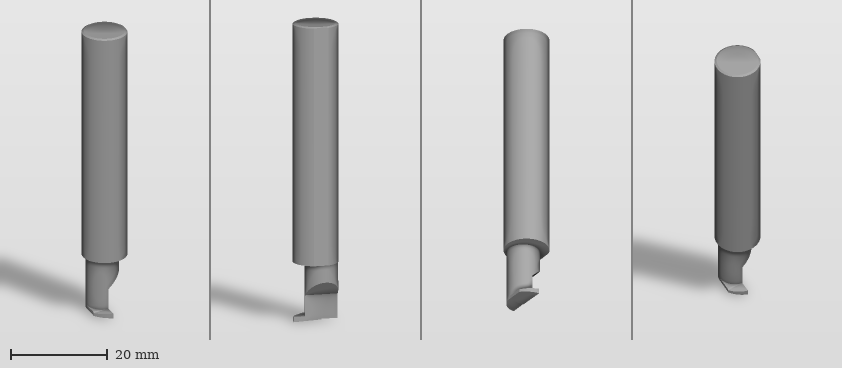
import cadquery as cq

overall_length = 63.5
shank_radius = 4.75
flat_offset = 4.5
shoulder_z = 12.7
chamfer_width = 0.45
chamfer_height = 0.25

neck_radius = 3.5
neck_x = neck_radius - shank_radius
neck_bottom_z = 0.4

relief_low_z = 5.6
relief_high_z = 8.8

head_top_z = 1.1
head_back_y = -neck_radius
head_back_x = 2.6
heel_x = 2.9
heel_y = -3.25
flank_mid_x = 4.2
flank_mid_y = -1.65
top_drop = 0.2
ramp_start_x = 2.2
bottom_rise_x = 0.04
bottom_rise_y = 0.05


def make_shank():
    bar = (
        cq.Workplane("XY", origin=(0, 0, shoulder_z))
        .circle(shank_radius)
        .extrude(overall_length - shoulder_z)
        .faces(">Z")
        .edges()
        .chamfer(chamfer_height, chamfer_width)
    )
    flat_cut = cq.Workplane("XY").box(
        2 * shank_radius, shank_radius, overall_length, centered=(True, False, False)
    )
    return bar.cut(flat_cut.translate((0, flat_offset, 0)))


def make_neck():
    bar = (
        cq.Workplane("XY", origin=(neck_x, 0, neck_bottom_z))
        .circle(neck_radius)
        .extrude(shoulder_z - neck_bottom_z)
    )
    relief = (
        cq.Workplane("YZ", origin=(neck_x, 0, 0))
        .moveTo(0, 0)
        .lineTo(0, relief_low_z)
        .lineTo(neck_radius, relief_high_z)
        .lineTo(neck_radius, 0)
        .close()
        .extrude(neck_radius, both=True)
    )
    return bar.cut(relief)


def bottom_z(x, y):
    """Height of the underside, which rises away from the tip along X and Y."""
    return bottom_rise_x * (shank_radius - x) - bottom_rise_y * y


def section_at(y):
    """Cross-section of the head between its sloping bottom and its top at depth y."""
    top = head_top_z + top_drop * y / neck_radius
    corners = [
        (neck_x, y, bottom_z(neck_x, y)),
        (shank_radius, y, bottom_z(shank_radius, y)),
        (shank_radius, y, top),
        (neck_x, y, top),
    ]
    return cq.Wire.makePolygon([cq.Vector(*corner) for corner in corners], close=True)


def make_head():
    wedge = cq.Workplane(cq.Solid.makeLoft([section_at(0), section_at(head_back_y)], True))
    outline = (
        cq.Workplane("XY")
        .moveTo(neck_x, 0)
        .lineTo(neck_x, head_back_y)
        .lineTo(head_back_x, head_back_y)
        .lineTo(heel_x, heel_y)
        .threePointArc((flank_mid_x, flank_mid_y), (shank_radius, 0))
        .close()
        .extrude(head_top_z)
    )
    return wedge.intersect(outline)


def make_ramp():
    """Web between neck and head whose top ramps down to the back of the head."""
    return (
        cq.Workplane("XZ")
        .moveTo(neck_x, neck_bottom_z)
        .lineTo(neck_x, head_top_z)
        .lineTo(ramp_start_x, head_top_z)
        .lineTo(head_back_x, head_top_z - top_drop)
        .lineTo(head_back_x, neck_bottom_z)
        .close()
        .extrude(neck_radius)
    )


result = make_shank().union(make_neck()).union(make_head()).union(make_ramp())